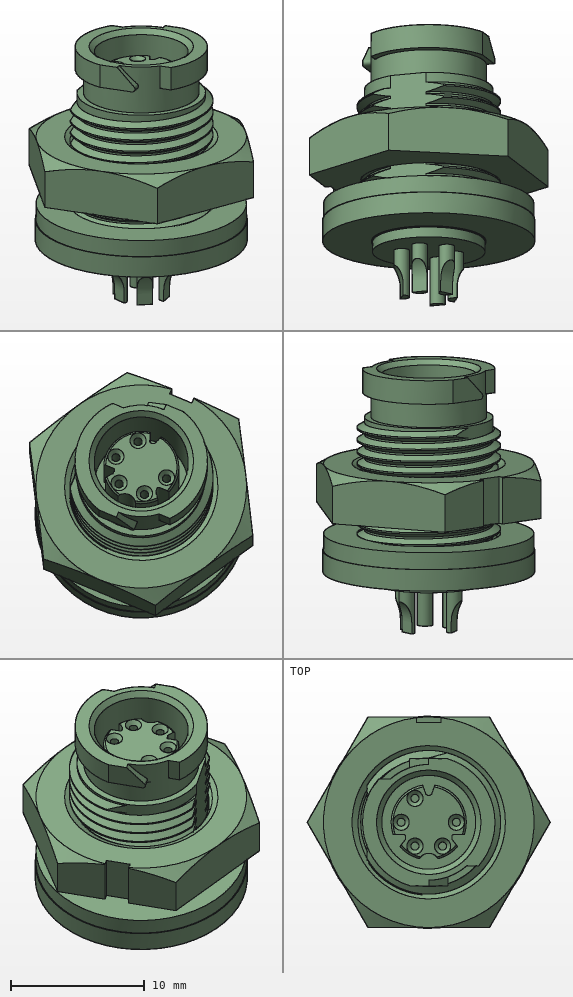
import cadquery as cq
import math


TOP_Z = 13.81
RING_BOTTOM_Z = 12.02
SHOULDER_Z = 10.14
NUT_BOTTOM_Z = 3.05
NUT_HEIGHT = 3.55
WASHER_HEIGHT = 1.28
FLANGE_HEIGHT = 1.62
BOSS_LEDGE_HEIGHT = 0.08
BOSS_HEIGHT = 0.84
PIN_LENGTH = 3.61
FLANGE_BOTTOM_Z = -FLANGE_HEIGHT
BOSS_BOTTOM_Z = FLANGE_BOTTOM_Z - BOSS_HEIGHT
PIN_BOTTOM_Z = BOSS_BOTTOM_Z - PIN_LENGTH
NUT_TOP_Z = NUT_BOTTOM_Z + NUT_HEIGHT

FLANGE_RADIUS = 7.94
BOSS_LEDGE_RADIUS = 4.28
BOSS_RADIUS = 4.21
NECK_RADIUS = 4.325
RING_RADIUS = 4.95
BORE_RADIUS = 3.51
BORE_CHAMFER = 0.39

THREAD_PITCH = 25.4 / 28
ROOT_RADIUS = 4.81
CREST_RADIUS = 5.37
CREST_WIDTH = THREAD_PITCH / 8
FLANK_ANGLE = 30.0
NUT_ROOT_RADIUS = 5.45
RIDGE_EMBED = 0.1
RIDGE_TOP_Z = 9.41
RIDGE_TURNS = 11
RUNOUT_ANGLE = 15.0
THREAD_FLAT_X = -4.6

RING_FLAT_Y = 4.75
SLOT_FACE_Y = 3.25
RAMP_NOSE_X = 1.45
RAMP_NOSE_RADIUS = 0.25

INSERT_RADIUS = 2.81
INSERT_CHAMFER = 0.14
INSERT_TOP_Z = 12.07
INSERT_GROOVE_DEPTH = 5.0
GROOVE_FLOOR_Z = INSERT_TOP_Z - INSERT_GROOVE_DEPTH
KEYWAY_REACH = 3.2

CONTACT_ANGLES = [0, 120, 180, 240, 300]
CONTACT_CIRCLE_RADIUS = 2.06
SOCKET_RADIUS = 0.3
SOCKET_MOUTH_RADIUS = 0.6
SOCKET_MOUTH_DEPTH = 0.3
SOCKET_DEPTH = 4.0
PIN_RADIUS = 0.59
CUP_FLAT_LENGTH = 0.87
CUP_CURVE_LENGTH = 1.55

NUT_ACROSS_FLATS = 15.745
NUT_BORE_RADIUS = 5.085
NUT_MOUTH_RADIUS = 5.73
NUT_CORNER_ANGLE = 30.0
NUT_MOUTH_ANGLE = 30.0
NUT_NOTCH_WIDTH = 1.8
NUT_NOTCH_DEPTH = 0.43
WASHER_RADIUS = NUT_ACROSS_FLATS / 2


def cylinder(radius, bottom_z, top_z):
    return cq.Workplane("XY").workplane(offset=bottom_z).circle(radius).extrude(top_z - bottom_z)


def cone(bottom_radius, top_radius, bottom_z, top_z):
    axis_point = cq.Vector(0, 0, bottom_z)
    height = top_z - bottom_z
    return cq.Workplane(cq.Solid.makeCone(bottom_radius, top_radius, height, axis_point))


def thread_ridge(tip_radius):
    """Helical thread ridge reaching out to tip_radius, cut off level at its lower end by the flange."""
    base_radius = ROOT_RADIUS - RIDGE_EMBED
    flank_slope = math.tan(math.radians(FLANK_ANGLE))
    half_tip = CREST_WIDTH / 2 - (tip_radius - CREST_RADIUS) * flank_slope
    half_base = half_tip + (tip_radius - base_radius) * flank_slope
    start_z = RIDGE_TOP_Z - RIDGE_TURNS * THREAD_PITCH
    helix_height = (RIDGE_TURNS + 0.5) * THREAD_PITCH
    helix = cq.Wire.makeHelix(THREAD_PITCH, helix_height, base_radius, cq.Vector(0, 0, start_z))
    ridge = (
        cq.Workplane("XZ")
        .polyline(
            [
                (base_radius, start_z - half_base),
                (tip_radius, start_z - half_tip),
                (tip_radius, start_z + half_tip),
                (base_radius, start_z + half_base),
            ]
        )
        .close()
        .sweep(cq.Workplane(helix), isFrenet=True)
    )
    return ridge.intersect(cylinder(2 * CREST_RADIUS, 0, SHOULDER_Z))


def ridge_runout():
    """Space past the ridge's upper end on the +Y side, bounded by a chord from root to crest."""
    end_bottom_z = RIDGE_TOP_Z - THREAD_PITCH / 4
    chord_end_angle = math.radians(90 - RUNOUT_ANGLE)
    chord_end_x = CREST_RADIUS * math.cos(chord_end_angle)
    chord_end_y = CREST_RADIUS * math.sin(chord_end_angle)
    outer = 2 * CREST_RADIUS
    return (
        cq.Workplane("XY")
        .workplane(offset=end_bottom_z)
        .polyline(
            [
                (0, 0),
                (0, ROOT_RADIUS),
                (chord_end_x, chord_end_y),
                (chord_end_x, outer),
                (-outer, outer),
                (-outer, 0),
            ]
        )
        .close()
        .extrude(SHOULDER_Z - end_bottom_z)
    )


def threaded_barrel():
    ridge = thread_ridge(CREST_RADIUS).cut(ridge_runout())
    barrel = cylinder(ROOT_RADIUS, 0, SHOULDER_Z).union(ridge)
    flat = cq.Workplane("XY").box(
        CREST_RADIUS, 3 * CREST_RADIUS, SHOULDER_Z, centered=(False, True, False)
    )
    return barrel.cut(flat.translate((THREAD_FLAT_X - CREST_RADIUS, 0, 0)))


def bayonet_slot():
    """Space in front of the ring between a 45 degree ramp and the next stretch of ring (-Y side)."""
    nose_z = RING_BOTTOM_Z + RAMP_NOSE_RADIUS
    nose_center_x = RAMP_NOSE_X - RAMP_NOSE_RADIUS
    tangent_offset = RAMP_NOSE_RADIUS * math.sqrt(0.5)
    tangent_x = nose_center_x + tangent_offset
    tangent_z = nose_z + tangent_offset
    outline = (
        cq.Workplane("XZ", origin=(0, -SLOT_FACE_Y, 0))
        .moveTo(nose_center_x, RING_BOTTOM_Z)
        .threePointArc((RAMP_NOSE_X, nose_z), (tangent_x, tangent_z))
        .lineTo(tangent_x - (TOP_Z - tangent_z), TOP_Z)
        .lineTo(RING_RADIUS, TOP_Z)
        .lineTo(RING_RADIUS, RING_BOTTOM_Z)
        .close()
    )
    return outline.extrude(RING_RADIUS).cut(cylinder(NECK_RADIUS, RING_BOTTOM_Z, TOP_Z))


def bayonet_ring():
    ring = cylinder(RING_RADIUS, RING_BOTTOM_Z, TOP_Z)
    flats = cq.Workplane("XY").box(2 * RING_RADIUS, 2 * RING_FLAT_Y, 2 * TOP_Z)
    ring = ring.intersect(flats)
    for turn in (0, 180):
        ring = ring.cut(bayonet_slot().rotate((0, 0, 0), (0, 0, 1), turn))
    return ring


def insert_keyways():
    """A flared keyway on the +Y side, a round one opposite and a mirrored pair at the sides."""
    floor = cq.Workplane("XY").workplane(offset=GROOVE_FLOOR_Z)

    flare_bottom_y = 2.0
    flare_side_y = 2.19
    flare_inner_half = 0.25
    flare_outer_half = 0.6
    flared = (
        floor.moveTo(-flare_outer_half, KEYWAY_REACH)
        .lineTo(-flare_inner_half, flare_side_y)
        .threePointArc((0, flare_bottom_y), (flare_inner_half, flare_side_y))
        .lineTo(flare_outer_half, KEYWAY_REACH)
        .close()
        .extrude(INSERT_GROOVE_DEPTH)
    )

    round_center_y = -3.13
    round_radius = 0.81
    rounded = floor.moveTo(0, round_center_y).circle(round_radius).extrude(INSERT_GROOVE_DEPTH)

    side_inner_x = 1.74
    side_corner = 0.13
    side_top_y = -0.913
    side_bend_y = -1.28
    side_outer_x = 2.5
    side_bottom_y = -2.27
    side = (
        floor.moveTo(KEYWAY_REACH, side_top_y)
        .lineTo(side_inner_x + side_corner, side_top_y)
        .radiusArc((side_inner_x, side_top_y - side_corner), -side_corner)
        .lineTo(side_inner_x, side_bend_y)
        .lineTo(side_outer_x, side_bottom_y)
        .lineTo(KEYWAY_REACH, side_bottom_y)
        .close()
        .extrude(INSERT_GROOVE_DEPTH)
    )

    return [flared, rounded, side, side.mirror("YZ")]


def insert_plateau():
    plateau = cylinder(INSERT_RADIUS, GROOVE_FLOOR_Z, INSERT_TOP_Z).faces(">Z").chamfer(INSERT_CHAMFER)
    for keyway in insert_keyways():
        plateau = plateau.cut(keyway)
    return plateau


def contact_socket():
    mouth_z = INSERT_TOP_Z - SOCKET_MOUTH_DEPTH
    hole = cylinder(SOCKET_RADIUS, INSERT_TOP_Z - SOCKET_DEPTH, INSERT_TOP_Z)
    mouth = cone(SOCKET_RADIUS, SOCKET_MOUTH_RADIUS, mouth_z, INSERT_TOP_Z)
    return hole.union(mouth).translate((CONTACT_CIRCLE_RADIUS, 0, 0))


def solder_pin():
    """Pin whose outward half is cut away at the tip, with a curved run-out."""
    curve_end_z = PIN_BOTTOM_Z + CUP_FLAT_LENGTH
    curve_radius = (PIN_RADIUS**2 + CUP_CURVE_LENGTH**2) / (2 * PIN_RADIUS)
    pin = cylinder(PIN_RADIUS, PIN_BOTTOM_Z, BOSS_BOTTOM_Z)
    cup = (
        cq.Workplane("XZ", origin=(0, PIN_RADIUS, 0))
        .moveTo(0, PIN_BOTTOM_Z)
        .lineTo(0, curve_end_z)
        .radiusArc((PIN_RADIUS, curve_end_z + CUP_CURVE_LENGTH), curve_radius)
        .lineTo(PIN_RADIUS, PIN_BOTTOM_Z)
        .close()
        .extrude(2 * PIN_RADIUS)
    )
    return pin.cut(cup).translate((CONTACT_CIRCLE_RADIUS, 0, 0))


def make_housing():
    body = threaded_barrel()
    body = body.union(cylinder(FLANGE_RADIUS, FLANGE_BOTTOM_Z, 0))
    body = body.union(cylinder(BOSS_LEDGE_RADIUS, FLANGE_BOTTOM_Z - BOSS_LEDGE_HEIGHT, FLANGE_BOTTOM_Z))
    body = body.union(cylinder(BOSS_RADIUS, BOSS_BOTTOM_Z, FLANGE_BOTTOM_Z))
    body = body.union(cylinder(NECK_RADIUS, SHOULDER_Z, RING_BOTTOM_Z))
    body = body.union(bayonet_ring())

    body = body.cut(cylinder(BORE_RADIUS, GROOVE_FLOOR_Z, TOP_Z))
    body = body.cut(cone(BORE_RADIUS, BORE_RADIUS + BORE_CHAMFER, TOP_Z - BORE_CHAMFER, TOP_Z))
    body = body.union(insert_plateau())

    for angle in CONTACT_ANGLES:
        body = body.cut(contact_socket().rotate((0, 0, 0), (0, 0, 1), angle))
        body = body.union(solder_pin().rotate((0, 0, 0), (0, 0, 1), angle))
    return body


def make_washer():
    return cylinder(WASHER_RADIUS, 0, WASHER_HEIGHT).cut(cylinder(CREST_RADIUS, 0, WASHER_HEIGHT))


def make_nut():
    corner_radius = NUT_ACROSS_FLATS / 2 / math.cos(math.pi / 6)
    blank = (
        cq.Workplane("XY")
        .workplane(offset=NUT_BOTTOM_Z)
        .polygon(6, 2 * corner_radius)
        .extrude(NUT_HEIGHT)
    )
    slope = math.tan(math.radians(NUT_CORNER_ANGLE))
    top_radius = NUT_ACROSS_FLATS / 2
    turned = cone(top_radius + NUT_HEIGHT / slope, top_radius, NUT_BOTTOM_Z, NUT_TOP_Z)
    threaded_bore = cylinder(NUT_BORE_RADIUS, 0, SHOULDER_Z).union(thread_ridge(NUT_ROOT_RADIUS))
    nut = blank.intersect(turned).cut(threaded_bore)

    mouth_depth = (NUT_MOUTH_RADIUS - NUT_BORE_RADIUS) * math.tan(math.radians(NUT_MOUTH_ANGLE))
    nut = nut.cut(cone(NUT_BORE_RADIUS, NUT_MOUTH_RADIUS, NUT_TOP_Z - mouth_depth, NUT_TOP_Z))

    notch = cq.Workplane("XY").box(NUT_NOTCH_WIDTH, 2 * NUT_NOTCH_DEPTH, 2 * NUT_TOP_Z)
    return nut.cut(notch.translate((0, NUT_ACROSS_FLATS / 2, 0)))


housing = make_housing()
washer = make_washer()
nut = make_nut()

result = cq.Compound.makeCompound([body.solids().val() for body in (housing, washer, nut)])